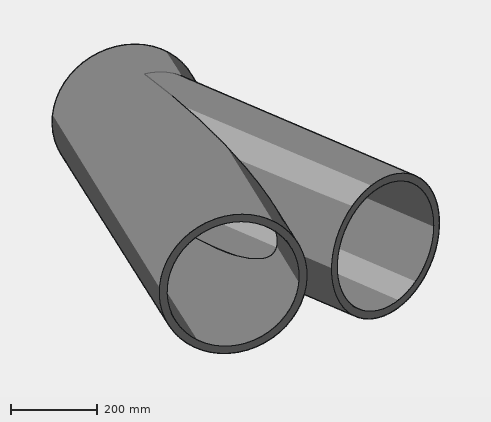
import cadquery as cq
import math

outer_diameter = 355.0
bore_diameter = 317.0
run_length = 952.5
inlet_length = 165.0
branch_length = 789.0
branch_angle = math.radians(30)

run_direction = cq.Vector(1, 0, 0)
branch_direction = cq.Vector(math.cos(branch_angle), math.sin(branch_angle), 0)
inlet_center = cq.Vector(-inlet_length, 0, 0)
axis_crossing = cq.Vector(0, 0, 0)


def cylinder(diameter, length, start, direction):
    """Solid cylinder extending from start along direction."""
    solid = cq.Solid.makeCylinder(diameter / 2, length, start, direction)
    return cq.Workplane(obj=solid)


def branched_body(diameter):
    """Union of the run and branch cylinders with a common diameter."""
    run = cylinder(diameter, run_length, inlet_center, run_direction)
    branch = cylinder(diameter, branch_length, axis_crossing, branch_direction)
    return run.union(branch)


result = branched_body(outer_diameter).cut(branched_body(bore_diameter))